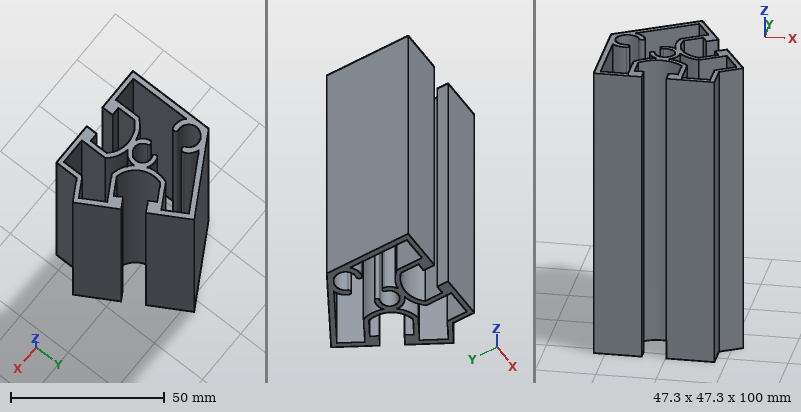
import math

import cadquery as cq

LENGTH = 100.0
OVERALL_SPAN = 47.3
FACE_WIDTH = 40.0
SYMMETRY_ANGLE = -30.0
SLOPE = math.tan(math.radians(SYMMETRY_ANGLE))
SIDE_HEIGHT = OVERALL_SPAN / (1 - math.sin(math.radians(SYMMETRY_ANGLE)))
CENTER_X = FACE_WIDTH / 2

LONG_WALL = 2.0
FACE_WALL = 1.8
SHORT_WALL = 1.7

SLOT_WIDTH = 8.2
LIP_HEIGHT = 4.2
CHANNEL_WIDTH = 14.4
CHANNEL_WALL = 1.7
ARCH_RADIUS = 9.8
ARCH_CENTER_Y = 4.2

CORE_INNER_RADIUS = 3.3
CORE_OUTER_RADIUS = 5.0
CORE_HALF_GAP = 40.0
CORNER_RING_X = 6.0
CORNER_INNER_RADIUS = 3.9
CORNER_OUTER_RADIUS = 5.9
CORNER_HALF_GAP = 52.0


def symmetry_y(x):
    """Height of the symmetry plane at x."""
    return SIDE_HEIGHT + SLOPE * x


def with_mirror(body):
    """Join a body with its reflection in the symmetry plane."""
    angle = math.radians(SYMMETRY_ANGLE)
    normal = cq.Vector(-math.sin(angle), math.cos(angle), 0)
    return body.union(body.mirror(normal, (0, SIDE_HEIGHT, 0)))


def envelope(left, bottom, right):
    """Prism bounded by three sides and their reflections."""
    half = [
        (left, symmetry_y(left)),
        (left, bottom),
        (right, bottom),
        (right, symmetry_y(right)),
    ]
    return with_mirror(cq.Workplane("XY").polyline(half).close().extrude(LENGTH))


def arched_channel(half_width, bottom, radius):
    """Straight-sided prism closed by an arch on top."""
    spring_y = ARCH_CENTER_Y + math.sqrt(radius**2 - half_width**2)
    return (
        cq.Workplane("XY")
        .moveTo(CENTER_X - half_width, bottom)
        .lineTo(CENTER_X + half_width, bottom)
        .lineTo(CENTER_X + half_width, spring_y)
        .threePointArc((CENTER_X, ARCH_CENTER_Y + radius), (CENTER_X - half_width, spring_y))
        .close()
        .extrude(LENGTH)
    )


def open_ring(center_x, inner_radius, outer_radius, gap_direction, half_gap):
    """C-shaped ring with rounded tips; the gap is centred on gap_direction."""
    center = (center_x, symmetry_y(center_x))

    def polar(radius, degrees):
        angle = math.radians(degrees)
        return (center[0] + radius * math.cos(angle), center[1] + radius * math.sin(angle))

    start = gap_direction + half_gap
    back = gap_direction + 180
    end = gap_direction - half_gap
    middle_radius = (inner_radius + outer_radius) / 2
    ring = (
        cq.Workplane("XY")
        .moveTo(*polar(outer_radius, start))
        .threePointArc(polar(outer_radius, back), polar(outer_radius, end))
        .lineTo(*polar(inner_radius, end))
        .threePointArc(polar(inner_radius, back), polar(inner_radius, start))
        .close()
        .extrude(LENGTH)
    )
    tips = (
        cq.Workplane("XY")
        .pushPoints([polar(middle_radius, start), polar(middle_radius, end)])
        .circle((outer_radius - inner_radius) / 2)
        .extrude(LENGTH)
    )
    return ring.union(tips)


shell = envelope(0, 0, FACE_WIDTH).cut(
    envelope(LONG_WALL, FACE_WALL, FACE_WIDTH - SHORT_WALL)
)

half_channel = CHANNEL_WIDTH / 2
channel_walls = arched_channel(half_channel + CHANNEL_WALL, 0, ARCH_RADIUS + CHANNEL_WALL)
channel_void = arched_channel(half_channel, LIP_HEIGHT, ARCH_RADIUS)
slot_mouth = (
    cq.Workplane("XY")
    .center(CENTER_X, 0)
    .rect(SLOT_WIDTH, 2 * LIP_HEIGHT)
    .extrude(LENGTH)
)
channels = with_mirror(channel_walls)
openings = with_mirror(channel_void.union(slot_mouth))

core_ring = open_ring(
    CENTER_X, CORE_INNER_RADIUS, CORE_OUTER_RADIUS, SYMMETRY_ANGLE + 180, CORE_HALF_GAP
)
corner_ring = open_ring(
    CORNER_RING_X, CORNER_INNER_RADIUS, CORNER_OUTER_RADIUS, SYMMETRY_ANGLE, CORNER_HALF_GAP
)

profile = shell.union(channels).cut(openings).union(core_ring).union(corner_ring)

result = profile.translate((-OVERALL_SPAN / 2, -OVERALL_SPAN / 2, -LENGTH / 2))